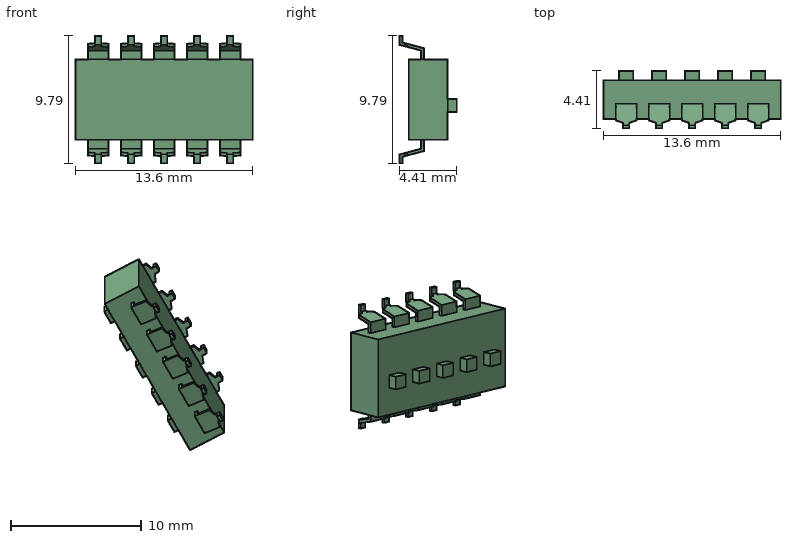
import cadquery as cq
import math

body_length = 13.64
body_depth = 3.0
body_height = 6.19

position_count = 5
pitch = 2.54

actuator_width = 1.1
actuator_height = 1.01
actuator_reach = 0.71
actuator_drop = 0.45

lead_thickness = 0.25
lead_height = 1.8
lead_reach = 0.7
stem_setback = 1.2
stem_height = 0.86
arm_angle = math.radians(15)

wide_width = 1.6
narrow_width = 0.5
taper_start = 0.6
taper_end = 0.41

position_xs = [(i - (position_count - 1) / 2) * pitch for i in range(position_count)]
embed = 0.14


def make_body():
    return cq.Workplane("XY").box(body_length, body_depth, body_height).translate((0, body_depth / 2, 0))


def make_actuator(x):
    length = actuator_reach + embed
    center_y = body_depth - embed + length / 2
    return (
        cq.Workplane("XY")
        .box(actuator_width, length, actuator_height)
        .translate((x, center_y, -actuator_drop))
    )


def make_lead_profile():
    """Side profile of an upper lead, extruded to its full width."""
    slope = math.tan(arm_angle)
    body_top = body_height / 2
    stem_back = stem_setback
    stem_front = stem_back - lead_thickness
    tip_front = -lead_reach
    tip_back = tip_front + lead_thickness
    tip_top = body_top + lead_height

    outer_bend = body_top + stem_height
    arm_drop = lead_thickness / math.cos(arm_angle)

    def arm_top(y):
        return outer_bend + (stem_back - y) * slope

    def arm_bottom(y):
        return arm_top(y) - arm_drop

    points = [
        (stem_back, body_top - embed),
        (stem_back, outer_bend),
        (tip_back, arm_top(tip_back)),
        (tip_back, tip_top),
        (tip_front, tip_top),
        (tip_front, arm_bottom(tip_front)),
        (stem_front, arm_bottom(stem_front)),
        (stem_front, body_top - embed),
    ]
    return cq.Workplane("YZ").polyline(points).close().extrude(wide_width / 2, both=True)


def make_lead_outline():
    """Lead shape seen along Z, extruded from mid-height up to the tip end."""
    tip_front = -lead_reach
    half_wide = wide_width / 2
    half_narrow = narrow_width / 2
    points = [
        (-half_wide, stem_setback),
        (-half_wide, tip_front + taper_start),
        (-half_narrow, tip_front + taper_end),
        (-half_narrow, tip_front),
        (half_narrow, tip_front),
        (half_narrow, tip_front + taper_end),
        (half_wide, tip_front + taper_start),
        (half_wide, stem_setback),
    ]
    return cq.Workplane("XY").polyline(points).close().extrude(body_height / 2 + lead_height)


upper_lead = make_lead_profile().intersect(make_lead_outline())
lower_lead = upper_lead.mirror("XY")

result = make_body()
for position_x in position_xs:
    result = result.union(make_actuator(position_x))
    result = result.union(upper_lead.translate((position_x, 0, 0)))
    result = result.union(lower_lead.translate((position_x, 0, 0)))